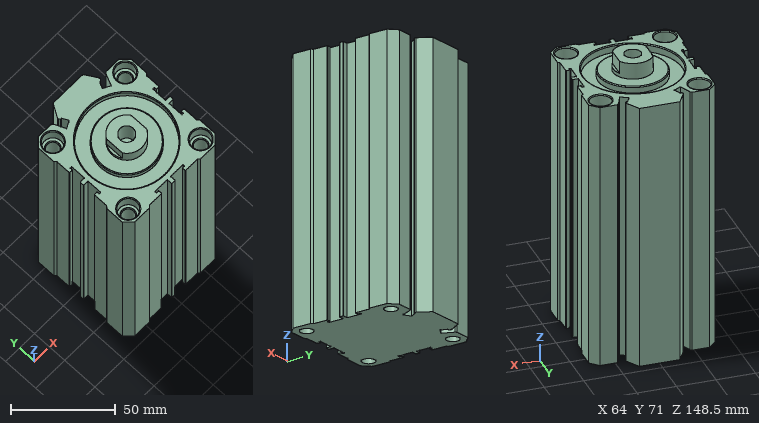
import cadquery as cq

barrel_width = 64.0
barrel_height = 140.5
corner_cut = 4.2

relief_depth = 1.0
relief_half_width = 16.5
slot_depth = 4.0
slot_half_width = 8.2
slot_rib_half_width = 1.2
slot_edge_chamfer = 0.25
undercut_half_width = 9.6
undercut_height = 1.0

rail_height = 7.0
rail_top_half_width = 10.25
rail_half_width = 14.5
rail_lip_height = 0.8
rail_lip_chamfer = 0.7
groove_lip_x = 13.2
groove_inner_floor = (11.5, 27.2)
groove_outer_floor = (15.4, 25.0)
groove_mouth_x = 18.1
groove_mouth_chamfer = 0.8

recess_diameter = 50.0
recess_depth = 4.0
recess_chamfer = 0.5
collar_diameter = 35.0
collar_drop = 0.5
collar_chamfer = 0.5

mount_pitch = 50.0
mount_hole_diameter = 7.0
counterbore_diameter = 11.0
counterbore_depth = 8.0
counterbore_chamfer = 0.5
seat_chamfer = 0.5

rod_diameter = 20.0
rod_reach = 8.0
rod_insertion = 100.0
flat_width = 17.0
flat_length = 6.5
tap_diameter = 8.6
tap_depth = 15.0

half = barrel_width / 2
rod_top = barrel_height + rod_reach
rod_bottom = barrel_height - rod_insertion


def barrel():
    """Octagonal barrel, running along Z."""
    blank = cq.Workplane("XY").rect(barrel_width, barrel_width).extrude(barrel_height)
    return blank.edges("|Z").chamfer(corner_cut)


def face_cut():
    """Shallow relief and ribbed, undercut slots, placed on the -Y face."""
    relief_y = -half + relief_depth
    chamfer_y = relief_y + slot_edge_chamfer
    floor_y = -half + slot_depth
    lip_y = floor_y - undercut_height
    relief_edge = relief_half_width + relief_depth
    relief = cq.Workplane("XY").polyline([
        (-relief_edge, -half),
        (relief_edge, -half),
        (relief_half_width, relief_y),
        (-relief_half_width, relief_y),
    ]).close().extrude(barrel_height)
    slot = cq.Workplane("XY").polyline([
        (slot_rib_half_width - slot_edge_chamfer, relief_y),
        (slot_half_width + slot_edge_chamfer, relief_y),
        (slot_half_width, chamfer_y),
        (slot_half_width, lip_y),
        (undercut_half_width, lip_y),
        (undercut_half_width, floor_y),
        (slot_rib_half_width, floor_y),
        (slot_rib_half_width, chamfer_y),
    ]).close().extrude(barrel_height)
    return relief.union(slot).union(slot.mirror("YZ"))


def rail():
    """Rail with slanted flanks, raised above the +Y face."""
    return cq.Workplane("XY").polyline([
        (-rail_half_width, half),
        (-rail_top_half_width, half + rail_height),
        (rail_top_half_width, half + rail_height),
        (rail_half_width, half),
    ]).close().extrude(barrel_height)


def rail_groove():
    """Slanted groove on the +X side of the rail, under its overhanging lip."""
    lip_y = half - rail_lip_height
    return cq.Workplane("XY").polyline([
        (rail_half_width, half),
        (rail_half_width, lip_y),
        (rail_half_width - rail_lip_chamfer, lip_y - rail_lip_chamfer),
        (groove_lip_x, lip_y - rail_lip_chamfer),
        groove_inner_floor,
        groove_outer_floor,
        (groove_mouth_x, half - groove_mouth_chamfer),
        (groove_mouth_x + groove_mouth_chamfer, half),
    ]).close().extrude(barrel_height)


def collar_recess():
    """Ring-shaped recess around the collar, including the drop of the collar top."""
    top = cq.Workplane("XY").workplane(offset=barrel_height)
    recess = top.circle(recess_diameter / 2).extrude(-recess_depth)
    mouth = top.circle(recess_diameter / 2 + recess_chamfer)
    mouth = mouth.extrude(-recess_chamfer, taper=45)
    collar = (
        cq.Workplane("XY").workplane(offset=barrel_height - recess_depth)
        .circle(collar_diameter / 2).extrude(recess_depth - collar_drop)
        .faces(">Z").edges().chamfer(collar_chamfer)
    )
    return recess.union(mouth).cut(collar)


def mount_hole():
    """Through hole, its chamfered seat and its chamfered counterbore, on the Z axis."""
    hole_radius = mount_hole_diameter / 2
    bore_radius = counterbore_diameter / 2
    seat_z = barrel_height - counterbore_depth
    return cq.Workplane("XZ").polyline([
        (0, 0),
        (hole_radius, 0),
        (hole_radius, seat_z - seat_chamfer),
        (hole_radius + seat_chamfer, seat_z),
        (bore_radius, seat_z),
        (bore_radius, barrel_height - counterbore_chamfer),
        (bore_radius + counterbore_chamfer, barrel_height),
        (0, barrel_height),
    ]).close().revolve(360, (0, 0, 0), (0, 1, 0))


def rod_cylinder():
    """Plain rod, which is also the shape of its hole in the housing."""
    return (
        cq.Workplane("XY").workplane(offset=rod_bottom)
        .circle(rod_diameter / 2).extrude(rod_top - rod_bottom)
    )


def make_housing():
    body = barrel().union(rail())
    for angle in (-90, 0, 90):
        body = body.cut(face_cut().rotate((0, 0, 0), (0, 0, 1), angle))
    groove = rail_groove()
    body = body.cut(groove).cut(groove.mirror("YZ"))
    body = body.cut(collar_recess())
    for x in (-mount_pitch / 2, mount_pitch / 2):
        for y in (-mount_pitch / 2, mount_pitch / 2):
            body = body.cut(mount_hole().translate((x, y, 0)))
    return body.cut(rod_cylinder())


def make_rod():
    flats = (
        cq.Workplane("XY").workplane(offset=rod_top - flat_length)
        .rect(2 * rod_diameter, 2 * rod_diameter)
        .rect(flat_width, 2 * rod_diameter)
        .extrude(flat_length)
    )
    tap_hole = (
        cq.Workplane("XY").workplane(offset=rod_top)
        .circle(tap_diameter / 2).extrude(-tap_depth)
    )
    return rod_cylinder().cut(flats).cut(tap_hole)


housing = make_housing()
rod = make_rod()
result = cq.Compound.makeCompound([housing.val(), rod.val()])